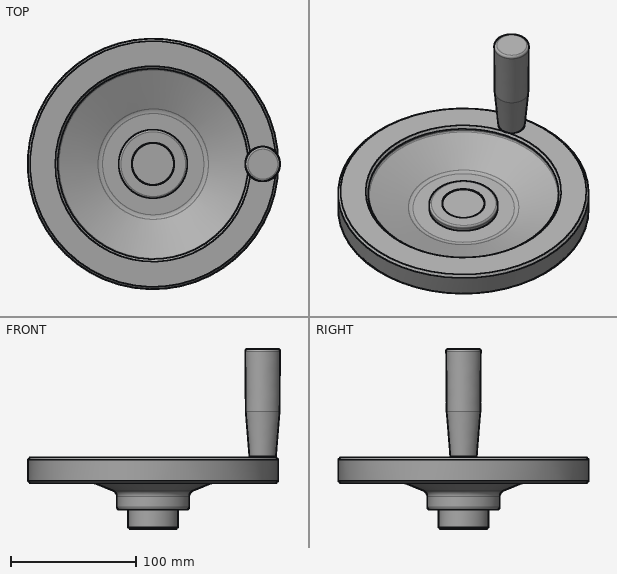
import cadquery as cq
import math

overall_length = 201.5
overall_height = 143.9

rim_radius = 200.0 / 2
rim_bore_radius = 152.0 / 2
rim_top = 57.5
rim_width = 21.0
rim_chamfer = 2.0
rim_bottom = rim_top - rim_width

web_slope = math.tan(math.radians(22))
floor_radius = 42.3
floor_z = 39.7
floor_blend = 9.7
dish_edge_fillet = 1.2
dish_edge_z = floor_z + (rim_bore_radius - floor_radius) * web_slope

hub_radius = 58.0 / 2
hub_bottom = 15.3
hub_fillet = 2.5
cove_corner_z = 29.5
cove_fillet = 4.6
web_under_edge_z = cove_corner_z + (rim_bore_radius - hub_radius) * web_slope

boss_radius = 54.8 / 2
boss_top = 44.5
boss_fillet = 1.6
recess_radius = 34.0 / 2
recess_depth = 0.5

shaft_radius = 40.0 / 2
shaft_chamfer = 1.6

handle_top_radius = 28.0 / 2
handle_waist_radius = 27.2 / 2
handle_foot_radius = 21.4 / 2
handle_waist_z = 93.9
handle_top_fillet = 2.0
handle_foot_chamfer = 0.6
handle_taper = math.atan2(handle_top_radius - handle_waist_radius, overall_height - handle_waist_z)
handle_top_trim = handle_top_fillet * (math.tan(math.pi / 4 + handle_taper / 2) - 1)
handle_x = overall_length - rim_radius - (handle_top_radius - handle_top_trim)


def revolve_section(corners):
    """Revolve an outline of (radius, height, corner rounding) about the Z axis."""
    outline = cq.Workplane("XZ").moveTo(*corners[0][:2])
    for before, corner, after in zip(corners, corners[1:], corners[2:] + corners[:1]):
        point = cq.Vector(*corner[:2])
        rounding = corner[2]
        if rounding == 0:
            outline = outline.lineTo(point.x, point.y)
            continue
        to_before = (cq.Vector(*before[:2]) - point).normalized()
        to_after = (cq.Vector(*after[:2]) - point).normalized()
        half_angle = to_before.getAngle(to_after) / 2
        tangent_length = rounding / math.tan(half_angle)
        middle_distance = rounding / math.sin(half_angle) - rounding
        start = point + to_before * tangent_length
        middle = point + (to_before + to_after).normalized() * middle_distance
        end = point + to_after * tangent_length
        outline = outline.lineTo(start.x, start.y)
        outline = outline.threePointArc((middle.x, middle.y), (end.x, end.y))
    return outline.close().revolve(360, (0, 0, 0), (0, 1, 0))


def make_wheel():
    """Rim, web, hub and boss in one revolved section."""
    return revolve_section([
        (0, hub_bottom, 0),
        (hub_radius, hub_bottom, hub_fillet),
        (hub_radius, cove_corner_z, cove_fillet),
        (rim_bore_radius, web_under_edge_z, 0),
        (rim_bore_radius, rim_bottom + rim_chamfer, 0),
        (rim_bore_radius + rim_chamfer, rim_bottom, 0),
        (rim_radius - rim_chamfer, rim_bottom, 0),
        (rim_radius, rim_bottom + rim_chamfer, 0),
        (rim_radius, rim_top - rim_chamfer, 0),
        (rim_radius - rim_chamfer, rim_top, 0),
        (rim_bore_radius + rim_chamfer, rim_top, 0),
        (rim_bore_radius, rim_top - rim_chamfer, 0),
        (rim_bore_radius, dish_edge_z, dish_edge_fillet),
        (floor_radius, floor_z, floor_blend),
        (boss_radius, floor_z, 0),
        (boss_radius, boss_top, boss_fillet),
        (recess_radius, boss_top, 0),
        (recess_radius - recess_depth, boss_top - recess_depth, 0),
        (0, boss_top - recess_depth, 0),
    ])


def make_shaft():
    """Plain round shaft below the hub, chamfered at its free end."""
    shaft = cq.Workplane("XY").circle(shaft_radius).extrude(hub_bottom)
    return shaft.faces("<Z").chamfer(shaft_chamfer)


def make_handle():
    """Tapered grip standing on the rim."""
    grip = revolve_section([
        (0, rim_top, 0),
        (handle_foot_radius - handle_foot_chamfer, rim_top, 0),
        (handle_foot_radius, rim_top + handle_foot_chamfer, 0),
        (handle_waist_radius, handle_waist_z, 0),
        (handle_top_radius, overall_height, handle_top_fillet),
        (0, overall_height, 0),
    ])
    return grip.translate((handle_x, 0, 0))


result = make_wheel().union(make_shaft()).union(make_handle())